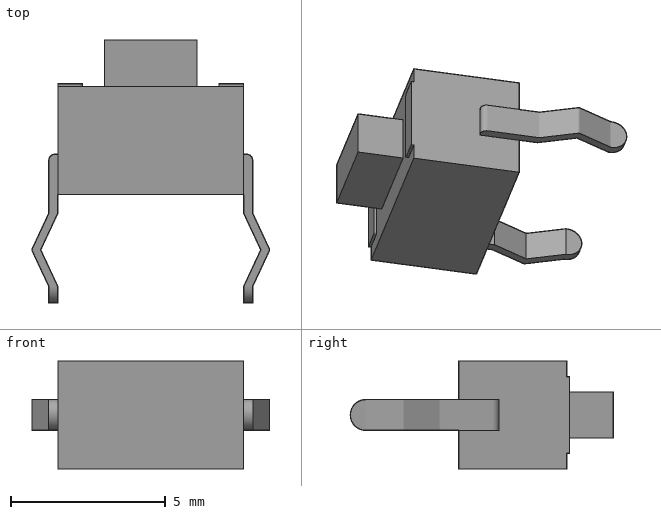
import cadquery as cq
import math

overall_length = 8.5

body_width = 6.0
body_depth = 3.5
body_height = 3.5
button_width = body_width / 2
button_height = 1.5
button_length = 1.5

pad_width = 0.8
pad_height = 2.48
pad_rise = 0.085
pad_round = 0.1

leg_width = 1.0
leg_thickness = 0.3
leg_top_y = 1.31
leg_top_round = 0.2
upper_bend_y = -0.6
knee_y = -1.785
lower_bend_y = 2 * knee_y - upper_bend_y
leg_tip_y = body_depth + button_length - overall_length
span_across_knees = 7.68
bend_round = 0.085

leg_inner_x = body_width / 2
leg_outer_x = leg_inner_x + leg_thickness
knee_reach = span_across_knees / 2 - leg_outer_x
knee_angle = math.atan2(knee_reach, upper_bend_y - knee_y)
knee_trim = bend_round * (1 / math.cos(knee_angle) - 1)
knee_offset = knee_reach + knee_trim


def make_body():
    """Rectangular housing with the button on its +Y face."""
    body = cq.Workplane("XY").box(body_width, body_depth, body_height, centered=(True, False, True))
    button = (
        cq.Workplane("XY")
        .box(button_width, button_length, button_height, centered=(True, False, True))
        .translate((0, body_depth, 0))
    )
    return body.union(button)


def make_pad():
    """Pad flush with the +X end, its corners rounded on the side towards the button."""
    return (
        cq.Workplane("XY")
        .box(pad_width, pad_rise, pad_height, centered=(False, False, True))
        .edges("|Y and <X")
        .fillet(pad_round)
        .translate((body_width / 2 - pad_width, body_depth, 0))
    )


def make_leg():
    """Leg on the +X end: a kinked strip with rounded outer bends, upper end and tip."""
    strip = (
        cq.Workplane("XY")
        .moveTo(leg_inner_x, leg_top_y)
        .lineTo(leg_outer_x - leg_top_round, leg_top_y)
        .radiusArc((leg_outer_x, leg_top_y - leg_top_round), leg_top_round)
        .lineTo(leg_outer_x, upper_bend_y)
        .lineTo(leg_outer_x + knee_offset, knee_y)
        .lineTo(leg_outer_x, lower_bend_y)
        .lineTo(leg_outer_x, leg_tip_y)
        .lineTo(leg_inner_x, leg_tip_y)
        .lineTo(leg_inner_x, lower_bend_y)
        .lineTo(leg_inner_x + knee_offset, knee_y)
        .lineTo(leg_inner_x, upper_bend_y)
        .close()
        .extrude(leg_width / 2, both=True)
    )
    for bend_x, bend_y in (
        (leg_outer_x, upper_bend_y),
        (leg_outer_x + knee_offset, knee_y),
        (leg_outer_x, lower_bend_y),
    ):
        bend_point = (bend_x, bend_y, 0)
        strip = strip.edges(cq.selectors.NearestToPointSelector(bend_point)).fillet(bend_round)

    tip_radius = leg_width / 2
    outline = (
        cq.Workplane("YZ", origin=(leg_inner_x, 0, 0))
        .moveTo(leg_top_y, -tip_radius)
        .lineTo(leg_tip_y + tip_radius, -tip_radius)
        .threePointArc((leg_tip_y, 0), (leg_tip_y + tip_radius, tip_radius))
        .lineTo(leg_top_y, tip_radius)
        .close()
        .extrude(leg_thickness + knee_offset)
    )
    return strip.intersect(outline)


result = make_body()
for end_feature in (make_pad(), make_leg()):
    result = result.union(end_feature).union(end_feature.mirror("YZ"))